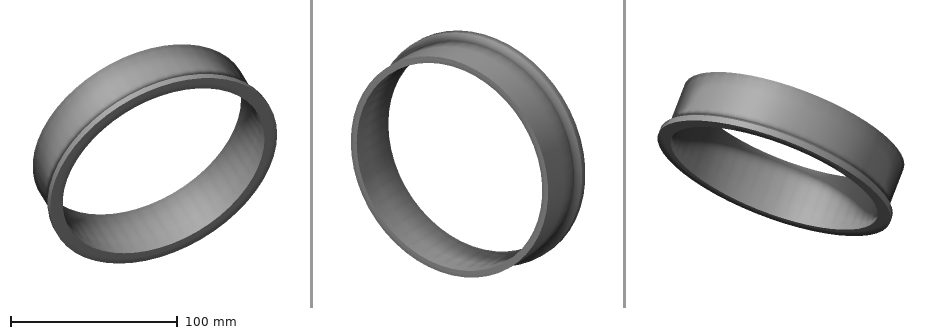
import cadquery as cq

total_length = 35.0
flange_diameter = 149.0
sleeve_diameter = 141.0
bore_diameter = 132.5
rim_width = 3.7
cone_width = 2.7

flange_radius = flange_diameter / 2
sleeve_radius = sleeve_diameter / 2
bore_radius = bore_diameter / 2
rim_start = total_length - rim_width
cone_start = rim_start - cone_width

half_section = [
    (0, bore_radius),
    (0, sleeve_radius),
    (cone_start, sleeve_radius),
    (rim_start, flange_radius),
    (total_length, flange_radius),
    (total_length, bore_radius),
]

result = cq.Workplane("XY").polyline(half_section).close().revolve(360, (0, 0, 0), (1, 0, 0))